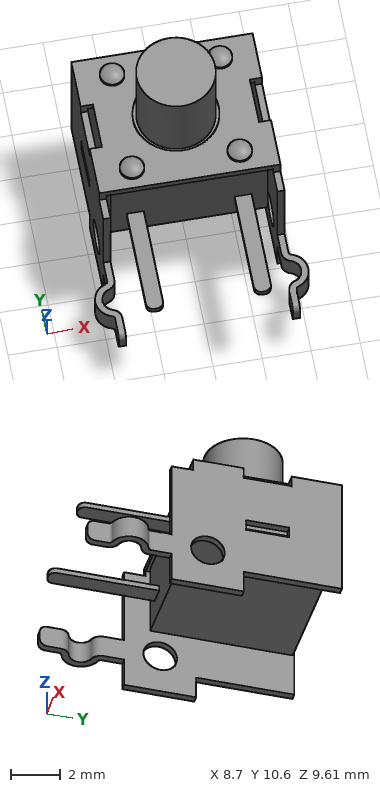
import cadquery as cq
import math


sheet = 0.3
bracket_width = 7.4
top_depth = 6.19
side_front_y = -4.0
tail_back_y = -1.0
shoulder_z = -0.54
side_bottom_z = -5.3
tail_bottom_z = -6.31
side_hole_diameter = 1.4
side_hole_y = -2.49

notch_length = 2.0
notch_size = 0.5
window_length = 1.8
window_top_z = -2.64
window_inner_height = 0.2

overall_depth = 10.6
leg_height = 1.0
leg_z = -4.52
leg_corner_radius = 0.3
bulge_y = -5.75
bulge_radius = 0.8
bend_radius = 0.15

body_width = 6.4
body_depth = 5.94
body_bottom_z = -3.48
recess_diameter = 3.5
recess_depth = 0.1
button_diameter = 3.2
button_height = 3.3

rivet_pitch = 4.4
rivet_radius = 0.5
rivet_rim_height = 0.11
rivet_height = 0.29

lead_pitch = 4.4
lead_width = 0.7
lead_thickness = 0.24
lead_z = -2.33
lead_corner_radius = 0.3

half_width = bracket_width / 2
inner_face_x = half_width - sheet
back_y = top_depth / 2
tip_y = back_y - overall_depth
body_front_y = -body_depth / 2


def box(x_min, x_max, y_min, y_max, z_min, z_max):
    """Block between the given limits."""
    size = (x_max - x_min, y_max - y_min, z_max - z_min)
    return cq.Workplane("XY").box(*size, centered=False).translate((x_min, y_min, z_min))


def mirrored_pair(solid):
    """The solid together with its mirror image across the YZ plane."""
    return solid.union(solid.mirror("YZ"))


def make_top_plate():
    plate = box(-half_width, half_width, -back_y, back_y, -sheet, 0)
    recess = cq.Workplane("XY").circle(recess_diameter / 2).extrude(-recess_depth)
    return plate.cut(recess)


def make_side():
    """The +X side of the bracket, with its pivot hole."""
    outline = [
        (back_y, 0),
        (-back_y, 0),
        (-back_y, shoulder_z),
        (side_front_y, shoulder_z),
        (side_front_y, tail_bottom_z),
        (tail_back_y, tail_bottom_z),
        (tail_back_y, side_bottom_z),
        (back_y, side_bottom_z),
    ]
    side_plane = cq.Workplane("YZ", origin=(inner_face_x, 0, 0))
    side = side_plane.polyline(outline).close().extrude(sheet)
    hole = side_plane.center(side_hole_y, leg_z).circle(side_hole_diameter / 2).extrude(sheet)
    return side.cut(hole)


def make_notch():
    """Cutter for the notch in the folded edge."""
    half_length = notch_length / 2
    return box(half_width - notch_size, half_width, -half_length, half_length, -notch_size, 0)


def make_window():
    """Cutter for the side window, whose sill slopes down at 45 degrees to the outside."""
    inner_sill_z = window_top_z - window_inner_height
    profile = [
        (inner_face_x, window_top_z),
        (half_width, window_top_z),
        (half_width, inner_sill_z - sheet),
        (inner_face_x, inner_sill_z),
    ]
    window = cq.Workplane("XZ").polyline(profile).close()
    return window.extrude(window_length / 2, both=True)


def make_snap_leg():
    """The +X snap leg: a strip with a round outward bulge and rounded tip corners.

    Each bulge arc blends into the straight strip through a bend that curves the other way.
    """
    bulge_x = half_width - sheet / 2
    bend_x = half_width + bend_radius
    bend_to_bulge = bulge_radius + bend_radius
    bend_offset = math.sqrt(bend_to_bulge**2 - (bend_x - bulge_x) ** 2)
    blend_angle = math.atan2(bend_offset, bend_x - bulge_x)

    def bulge_point(radius, angle):
        return (bulge_x + radius * math.cos(angle), bulge_y + radius * math.sin(angle))

    def bend_middle(radius, side):
        """Middle of the bend on the +Y side (side = 1) or the -Y side (side = -1)."""
        angle = blend_angle / 2
        return (
            bend_x - radius * math.cos(angle),
            bulge_y + side * (bend_offset - radius * math.sin(angle)),
        )

    inner_bulge = bulge_radius - sheet
    inner_bend = bend_radius + sheet
    far_bend_y = bulge_y - bend_offset
    near_bend_y = bulge_y + bend_offset
    strip = (
        cq.Workplane("XY", origin=(0, 0, leg_z - leg_height / 2))
        .moveTo(half_width, side_front_y)
        .lineTo(half_width, near_bend_y)
        .threePointArc(bend_middle(bend_radius, 1), bulge_point(bulge_radius, blend_angle))
        .threePointArc(bulge_point(bulge_radius, 0), bulge_point(bulge_radius, -blend_angle))
        .threePointArc(bend_middle(bend_radius, -1), (half_width, far_bend_y))
        .lineTo(half_width, tip_y)
        .lineTo(inner_face_x, tip_y)
        .lineTo(inner_face_x, far_bend_y)
        .threePointArc(bend_middle(inner_bend, -1), bulge_point(inner_bulge, -blend_angle))
        .threePointArc(bulge_point(inner_bulge, 0), bulge_point(inner_bulge, blend_angle))
        .threePointArc(bend_middle(inner_bend, 1), (inner_face_x, near_bend_y))
        .lineTo(inner_face_x, side_front_y)
        .close()
        .extrude(leg_height)
    )
    return strip.faces("<Y").edges("|X").fillet(leg_corner_radius)


def make_bracket():
    right_half = make_side().union(make_snap_leg()).cut(make_window())
    bracket = make_top_plate().union(mirrored_pair(right_half))
    return bracket.cut(mirrored_pair(make_notch()))


def make_body():
    half_body = body_width / 2
    return box(-half_body, half_body, body_front_y, -body_front_y, body_bottom_z, -sheet)


def make_button():
    button = cq.Workplane("XY", origin=(0, 0, -sheet)).circle(button_diameter / 2)
    return button.extrude(sheet + button_height)


def make_rivet():
    """Rivet head on the Z axis: a short rim under a spherical cap."""
    cap_height = rivet_height - rivet_rim_height
    sphere_radius = (rivet_radius**2 + cap_height**2) / (2 * cap_height)
    half_angle = math.asin(rivet_radius / sphere_radius) / 2
    sphere_center_z = rivet_height - sphere_radius
    cap_middle = (
        sphere_radius * math.sin(half_angle),
        sphere_center_z + sphere_radius * math.cos(half_angle),
    )
    return (
        cq.Workplane("XZ")
        .lineTo(rivet_radius, 0)
        .lineTo(rivet_radius, rivet_rim_height)
        .threePointArc(cap_middle, (0, rivet_height))
        .close()
        .revolve(360, (0, 0, 0), (0, 1, 0))
    )


def make_lead():
    """The +X lead, from the front of the body to its rounded tip."""
    center_x = lead_pitch / 2
    half_lead = lead_width / 2
    half_thickness = lead_thickness / 2
    lead = box(
        center_x - half_lead,
        center_x + half_lead,
        tip_y,
        body_front_y,
        lead_z - half_thickness,
        lead_z + half_thickness,
    )
    return lead.faces("<Y").edges("|Z").fillet(lead_corner_radius)


result = make_bracket().union(make_body()).union(make_button()).union(mirrored_pair(make_lead()))
for x_side in (-1, 1):
    for y_side in (-1, 1):
        rivet_place = (x_side * rivet_pitch / 2, y_side * rivet_pitch / 2, 0)
        result = result.union(make_rivet().translate(rivet_place))